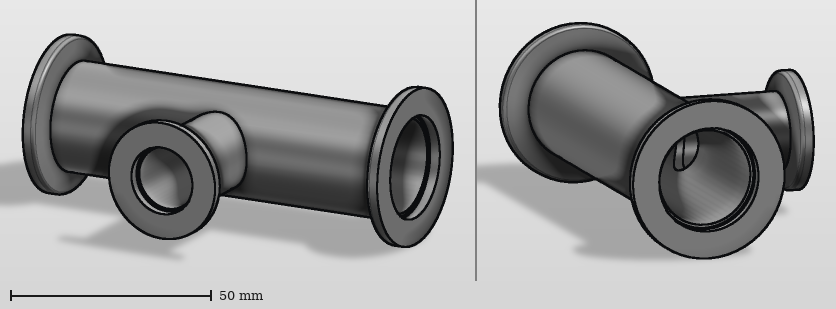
import cadquery as cq
import math

run_length = 100.0
run_outer_radius = 14.0
run_bore_radius = 12.0
run_flange_radius = 20.0
run_recess_radius = 13.1

branch_reach = 40.0
branch_outer_radius = 10.0
branch_bore_radius = 8.0
branch_flange_radius = 15.0
branch_recess_radius = 8.6

rim_thickness = 3.0
clamp_angle = 15.0
rim_fillet = 1.0
recess_depth = 3.0
recess_floor_chamfer = 0.3


def clamp_flange(tube_radius, flange_radius):
    """Solid clamp flange, with its face at Z = 0 and its cone narrowing to the tube on +Z."""
    slope = math.radians(clamp_angle)
    cone_rise = (flange_radius - tube_radius) * math.tan(slope)
    flange_depth = rim_thickness + cone_rise
    tangent_length = rim_fillet * math.tan((math.pi / 2 - slope) / 2)
    cone_start_radius = flange_radius - tangent_length * math.cos(slope)
    cone_start_height = rim_thickness + tangent_length * math.sin(slope)
    return (
        cq.Workplane("XZ")
        .moveTo(0, 0)
        .lineTo(flange_radius, 0)
        .lineTo(flange_radius, rim_thickness - tangent_length)
        .tangentArcPoint((cone_start_radius, cone_start_height), relative=False)
        .lineTo(tube_radius, flange_depth)
        .lineTo(0, flange_depth)
        .close()
        .revolve(360, (0, 0, 0), (0, 1, 0))
    )


def centring_recess(recess_radius):
    """Cutter for the centring-ring recess in a flange face at Z = 0."""
    recess = cq.Workplane("XY").circle(recess_radius).extrude(recess_depth)
    return recess.faces(">Z").chamfer(recess_floor_chamfer)


def cylinder(radius, length):
    """Solid cylinder from Z = 0 up."""
    return cq.Workplane("XY").circle(radius).extrude(length)


def place_run(shape):
    """Turn +Z to +X and move Z = 0 to the -X end of the run."""
    return shape.rotate((0, 0, 0), (0, 1, 0), 90).translate((-run_length / 2, 0, 0))


def place_branch(shape):
    """Turn +Z to +Y and move Z = 0 to the -Y end of the branch."""
    return shape.rotate((0, 0, 0), (1, 0, 0), -90).translate((0, -branch_reach, 0))


run_tube = place_run(cylinder(run_outer_radius, run_length))
run_flange = place_run(clamp_flange(run_outer_radius, run_flange_radius))
run_recess = place_run(centring_recess(run_recess_radius))

branch_bore = place_branch(cylinder(branch_bore_radius, branch_reach))
branch_recess = place_branch(centring_recess(branch_recess_radius))

run = (
    run_tube.union(run_flange)
    .union(run_flange.mirror("YZ"))
    .cut(place_run(cylinder(run_bore_radius, run_length)))
    .cut(run_recess)
    .cut(run_recess.mirror("YZ"))
    .cut(branch_bore)
)

branch = (
    place_branch(cylinder(branch_outer_radius, branch_reach))
    .union(place_branch(clamp_flange(branch_outer_radius, branch_flange_radius)))
    .cut(branch_bore)
    .cut(branch_recess)
    .cut(run_tube)
)

result = cq.Compound.makeCompound([run.solids().val(), branch.solids().val()])